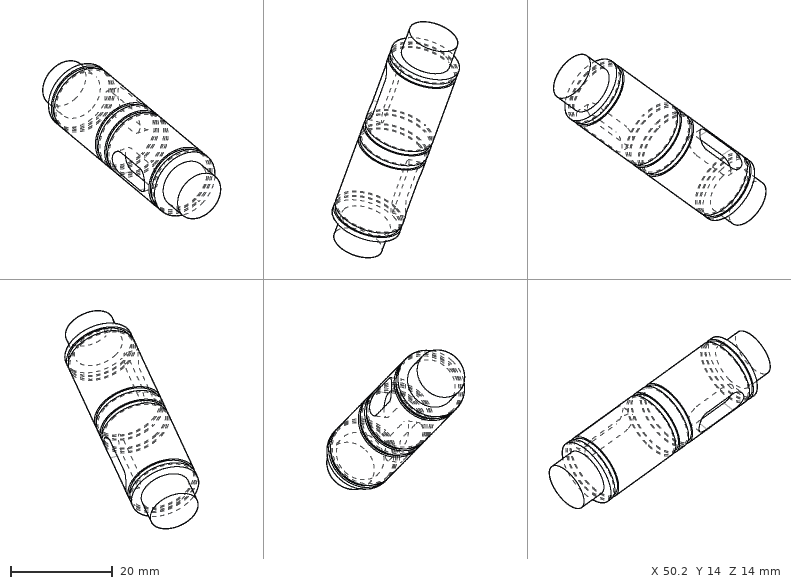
import cadquery as cq

total_length = 50.2
body_length = 39.45
body_diameter = 14.0
journal_diameter = 10.0

groove_diameter = 13.3
groove_width = 1.05
end_land_width = 1.05
middle_land_width = 2.4
groove_offsets = (
    (middle_land_width + groove_width) / 2,
    body_length / 2 - end_land_width - groove_width / 2,
)

cutting_clearance = 0.5

front_keyway_length = 12.05
rear_keyway_length = 13.05
keyway_width = 5.0
keyway_depth = 3.0
front_keyway_center = 10.05
rear_keyway_center = -9.9


def cylinder_along_x(diameter, length, center_x=0):
    return (
        cq.Workplane("YZ", origin=(center_x - length / 2, 0, 0))
        .circle(diameter / 2)
        .extrude(length)
    )


def ring_groove(center_x):
    outer = cylinder_along_x(body_diameter + cutting_clearance, groove_width, center_x)
    core = cylinder_along_x(groove_diameter, groove_width, center_x)
    return outer.cut(core)


def keyway(side, center_x, length):
    """Slot cut inward from the body surface; side is the sign of Y it opens toward."""
    floor_y = side * (body_diameter / 2 - keyway_depth)
    return (
        cq.Workplane("XZ", origin=(center_x, floor_y, 0))
        .slot2D(length, keyway_width)
        .extrude(-side * body_diameter)
    )


result = cylinder_along_x(journal_diameter, total_length).union(
    cylinder_along_x(body_diameter, body_length)
)

for offset in groove_offsets:
    for end in (-1, 1):
        result = result.cut(ring_groove(end * offset))

result = result.cut(keyway(-1, front_keyway_center, front_keyway_length))
result = result.cut(keyway(1, rear_keyway_center, rear_keyway_length))